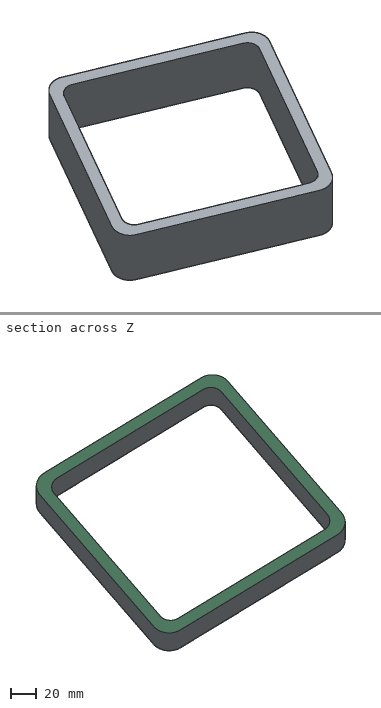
import cadquery as cq

side = 180.0
height = 50.0
wall = 10.0
outer_corner_radius = 15.0
inner_corner_radius = 10.0

opening_side = side - 2 * wall


def rounded_square_block(width, corner_radius):
    """Square block of the frame height with rounded vertical edges."""
    block = cq.Workplane("XY").rect(width, width).extrude(height)
    return block.edges("|Z").fillet(corner_radius)


frame = rounded_square_block(side, outer_corner_radius)
opening = rounded_square_block(opening_side, inner_corner_radius)

result = frame.cut(opening)